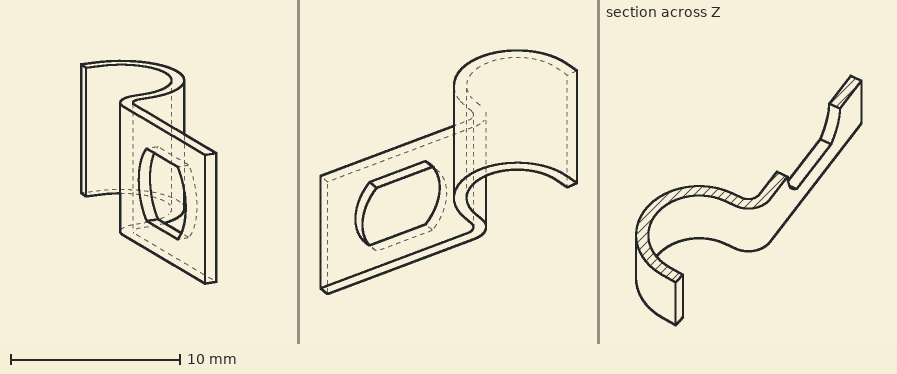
import cadquery as cq
import math

total_length = 18.82
total_height = 5.95
strip_width = 8.0
thickness = 0.75
loop_outer_radius = 3.75
bend_inner_radius = 0.75
lip_length = 1.0
lip_flare = 5.0
hole_diameter = 6.0
hole_height = 4.5
hole_end_distance = 5.5

loop_inner_radius = loop_outer_radius - thickness
bend_outer_radius = bend_inner_radius + thickness
loop_center_y = total_height - loop_outer_radius
bend_center_x = loop_outer_radius + bend_inner_radius
flare = math.radians(lip_flare)
lip_reach = loop_outer_radius * math.cos(flare) + lip_length * math.sin(flare)
foot_end_x = total_length - lip_reach
hole_x = foot_end_x - hole_end_distance


def loop_point(radius, angle):
    """Point on a circle about the loop axis, angle in radians."""
    return (radius * math.cos(angle), loop_center_y + radius * math.sin(angle))


def lip_tip(radius):
    """End of the lip, which leaves the loop along its tangent."""
    x, y = loop_point(radius, math.pi - flare)
    return (x - lip_length * math.sin(flare), y - lip_length * math.cos(flare))


def bend_middle(radius):
    """Middle of the quarter-circle bend between loop and foot."""
    offset = radius * math.sqrt(0.5)
    return (bend_center_x - offset, bend_outer_radius - offset)


def make_strip():
    """Bent strip: flared lip, loop, short leg, bend and flat foot."""
    loop_top = math.pi / 2
    lip_start = math.pi - flare
    return (
        cq.Workplane("XY")
        .moveTo(*lip_tip(loop_outer_radius))
        .lineTo(*loop_point(loop_outer_radius, lip_start))
        .threePointArc(loop_point(loop_outer_radius, loop_top), loop_point(loop_outer_radius, 0))
        .lineTo(loop_outer_radius, bend_outer_radius)
        .threePointArc(bend_middle(bend_inner_radius), (bend_center_x, thickness))
        .lineTo(foot_end_x, thickness)
        .lineTo(foot_end_x, 0)
        .lineTo(bend_center_x, 0)
        .threePointArc(bend_middle(bend_outer_radius), (loop_inner_radius, bend_outer_radius))
        .lineTo(*loop_point(loop_inner_radius, 0))
        .threePointArc(loop_point(loop_inner_radius, loop_top), loop_point(loop_inner_radius, lip_start))
        .lineTo(*lip_tip(loop_inner_radius))
        .close()
        .extrude(strip_width / 2, both=True)
    )


def make_hole_cutter():
    """Round hole with flats above and below, through the foot along Y."""
    depth = 2 * thickness
    cylinder = cq.Workplane("XZ").center(hole_x, 0).circle(hole_diameter / 2).extrude(depth, both=True)
    flats = cq.Workplane("XY").box(hole_diameter, 2 * depth, hole_height).translate((hole_x, 0, 0))
    return cylinder.intersect(flats)


result = make_strip().cut(make_hole_cutter())